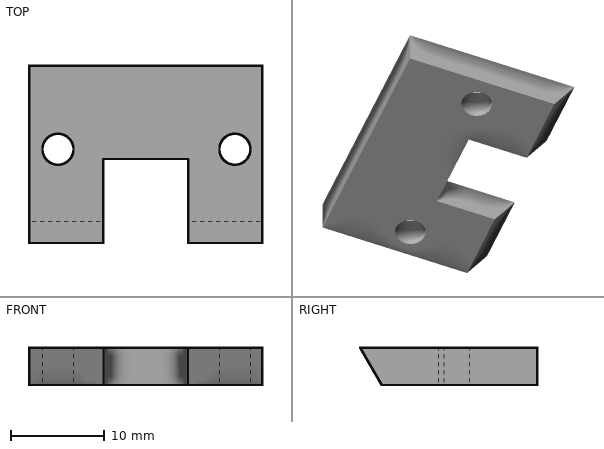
import cadquery as cq
import math

width = 25.0
depth = 19.0
thickness = 4.0

front_lean_angle = 30.0
front_setback = thickness * math.tan(math.radians(front_lean_angle))

slot_width = 9.1
slot_depth = 9.0

hole_diameter = 3.3
hole_spacing = 18.95
hole_from_left = 3.1
hole_from_front = 10.05


def make_plate():
    """Plate with a slanted front, extruded across its width from a YZ profile."""
    profile = [
        (front_setback, 0),
        (depth, 0),
        (depth, thickness),
        (0, thickness),
    ]
    return cq.Workplane("YZ").polyline(profile).close().extrude(width / 2, both=True)


def make_slot():
    """Block that removes the slot through the full thickness."""
    return cq.Workplane("XY").box(slot_width, slot_depth, thickness, centered=(True, False, False))


def make_holes():
    """Cylinders that remove the two holes through the full thickness."""
    left_x = hole_from_left - width / 2
    centres = [(x, hole_from_front) for x in (left_x, left_x + hole_spacing)]
    return cq.Workplane("XY").pushPoints(centres).circle(hole_diameter / 2).extrude(thickness)


result = make_plate().cut(make_slot()).cut(make_holes())